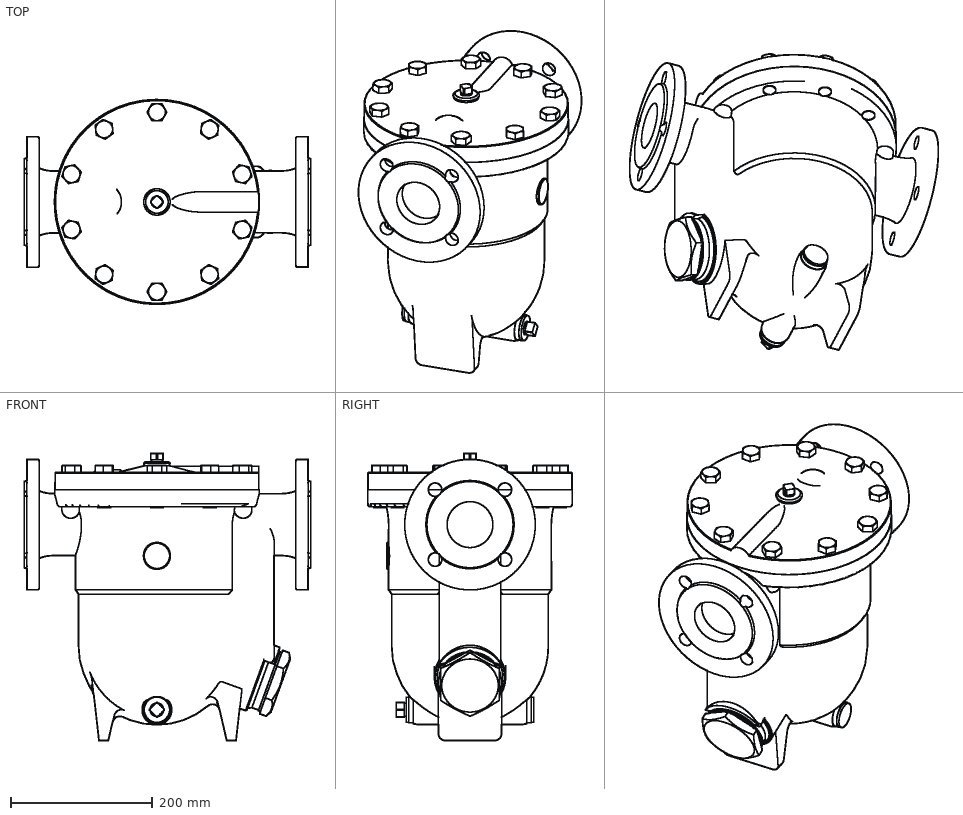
import cadquery as cq
import math

tolerance = 1e-3
shell_r = 111.0
upper_r = 115.5
collar_r = 118.5
step_z = -92.0
step_h = 6.5
dome_z = -172.5
flare_z = 1.7
rim_bottom_z = 25.0
rim_r = 145.0
cover_r = 144.5
cover_joint_z = 49.5
cover_top_z = 74.0
cover_edge = 1.0
rim_fillet = 4.5
bolt_count = 10
bolt_circle_r = 127.0
bolt_across_flats = 24.0
bolt_head_h = 10.0
bolt_shank_d = 18.0
bolt_protrusion = 1.0
bolt_lug_r = 12.5
bolt_lug_x = 122.0
bolt_lug_z = 21.0
bolt_lug_half_len = 52.0
hub_r = 60.0
hub_cone_r = 54.0
hub_cone_z = 74.5
hub_top_r = 17.5
hub_top_z = 83.5
plug_rim_r = 18.7
plug_rim_z = 86.7
plug_top_r = 16.0
plug_top_z = 89.3
plug_neck_d = 16.0
plug_neck_top_z = 91.5
plug_square = 13.89
plug_corner_d = 17.6
plug_square_top_z = 101.0
pad_x = -69.0
pad_top_r = 15.0
pad_base_r = 22.0
pad_h = 4.0
rib_r = 16.0
rib_top_z = 82.8
face_to_face = 406.0
face_centre_x = 15.0
flange_d = 185.0
flange_t = 17.5
flange_back_fillet = 2.5
raised_face_d = 122.0
raised_face_base_d = 125.0
raised_face_t = 4.0
flange_hole_d = 19.0
flange_hole_circle_d = 140.0
flange_hole_count = 4
pipe_r = 44.0
pipe_hub_r = 47.8
pipe_hub_len = 20.0
bore_d = 65.0
bore_depth = 21.5
passage_x = 166.0
passage_half_w = 43.75
passage_corner_r = 7.0
passage_fillet = 5.0
chord_fillet = 6.0
boss_tilt = 20.0
boss_axis_z = -164.0
boss_r = 50.5
boss_len = 153.4
boss_end_chamfer = 1.5
boss_pad_len = 167.0
boss_neck_root_r = 46.5
boss_neck_root_len = 5.5
boss_neck_r = 43.5
boss_neck_len = 169.0
strainer_ring_r = 44.5
strainer_ring_len = 172.0
strainer_across_flats = 83.0
strainer_len = 186.4
strainer_top_d = 80.0
drain_z = -262.0
drain_r = 21.0
drain_straight_y = 74.0
drain_end_y = 80.5
drain_end_r = 19.5
drain_collar_r = 18.6
drain_collar_y = 87.0
drain_cap_r = 18.0
drain_cap_y = 90.5
drain_neck_d = 19.0
drain_neck_y = 93.0
drain_square = 15.4
drain_corner_d = 21.0
drain_square_y = 104.5
front_boss_d = 36.0
front_boss_base_d = 38.0
front_boss_z = -44.2
front_boss_y = 117.5
foot_bottom_z = -305.7
foot_half_w = 44.8
foot_corner_r = 10.0
foot_offset = 90.4
foot_bottom_t = 13.4
foot_outer_slope = 6.5
foot_inner_slope = 13.1
foot_top_z = -200.0
foot_inner_fillet = 10.0
foot_outer_fillet = 15.0


def tan_deg(angle):
    return math.tan(math.radians(angle))


def cylinder(plane, radius, start, end):
    return cq.Workplane(plane).workplane(offset=start).circle(radius).extrude(end - start)


def chamfered_hex(plane, across_flats, start, end, top_d):
    """Hexagonal head whose outer corners are turned off by a 30 degree cone."""
    across_corners = across_flats / math.cos(math.radians(30))
    cone_h = (across_corners - top_d) / 2 * tan_deg(30)
    turned = cylinder(plane, across_corners / 2, start, end)
    turned = turned.faces(cq.DirectionMinMaxSelector(plane.zDir, True))
    turned = turned.chamfer(cone_h, (across_corners - top_d) / 2)
    head = cq.Workplane(plane).workplane(offset=start).polygon(6, across_corners).extrude(end - start)
    return head.intersect(turned)


def square_drive(plane, side, corner_d, start, end):
    """Square standing on its corner, with the four corners turned to a diameter."""
    drive = cq.Workplane(plane).workplane(offset=start).transformed(rotate=(0, 0, 45))
    drive = drive.rect(side, side).extrude(end - start)
    return drive.intersect(cylinder(plane, corner_d / 2, start, end))


def make_body():
    profile = (
        cq.Workplane("XZ")
        .moveTo(0, dome_z - shell_r)
        .threePointArc(
            (shell_r * math.sin(math.pi / 4), dome_z - shell_r * math.cos(math.pi / 4)),
            (shell_r, dome_z),
        )
        .lineTo(shell_r, step_z - step_h)
        .lineTo(upper_r, step_z)
        .lineTo(upper_r, flare_z)
        .tangentArcPoint((collar_r, rim_bottom_z), relative=False)
        .lineTo(collar_r, cover_joint_z)
        .lineTo(0, cover_joint_z)
        .close()
    )
    return profile.revolve(360, (0, 0, 0), (0, 1, 0)).rotate((0, 0, 0), (0, 0, 1), 90)


def make_cover():
    rim = cylinder(cq.Plane.XY(), rim_r, rim_bottom_z, cover_joint_z).faces("<Z").edges().fillet(rim_fillet)
    cover = cylinder(cq.Plane.XY(), cover_r, cover_joint_z, cover_top_z)
    cover = cover.faces(">Z").edges().chamfer(cover_edge)
    hub_and_plug = (
        cq.Workplane("XZ")
        .moveTo(0, cover_joint_z)
        .lineTo(hub_r, cover_joint_z)
        .lineTo(hub_r, cover_top_z)
        .lineTo(hub_cone_r, hub_cone_z)
        .lineTo(hub_top_r, hub_top_z)
        .lineTo(plug_rim_r, plug_rim_z)
        .lineTo(plug_top_r, plug_top_z)
        .lineTo(plug_neck_d / 2, plug_top_z)
        .lineTo(plug_neck_d / 2, plug_neck_top_z)
        .lineTo(0, plug_neck_top_z)
        .close()
        .revolve(360, (0, 0, 0), (0, 1, 0))
    )
    drive = square_drive(cq.Plane.XY(), plug_square, plug_corner_d, plug_neck_top_z, plug_square_top_z)
    pad_mid = ((pad_top_r + pad_base_r) / 2, cover_top_z + pad_h / 2)
    pad_arc_r = ((pad_base_r - pad_top_r) ** 2 + pad_h**2) / (4 * pad_h)
    pad = (
        cq.Workplane("XZ")
        .moveTo(0, cover_joint_z)
        .lineTo(pad_base_r, cover_joint_z)
        .lineTo(pad_base_r, cover_top_z)
        .radiusArc(pad_mid, pad_arc_r)
        .radiusArc((pad_top_r, cover_top_z + pad_h), -pad_arc_r)
        .lineTo(0, cover_top_z + pad_h)
        .close()
        .revolve(360, (0, 0, 0), (0, 1, 0))
        .translate((pad_x, 0, 0))
    )
    rib = cylinder(cq.Plane.YZ(), rib_r, 0, cover_r).translate((0, 0, rib_top_z - rib_r))
    rib = rib.intersect(cylinder(cq.Plane.XY(), cover_r, rim_bottom_z, plug_top_z))
    return rim.union(cover).union(pad).union(hub_and_plug).union(drive).union(rib)


def make_bolts():
    bolts = None
    for i in range(bolt_count):
        angle = 90 + i * 360 / bolt_count
        x = bolt_circle_r * math.cos(math.radians(angle))
        y = bolt_circle_r * math.sin(math.radians(angle))
        plane = cq.Plane((x, y, 0)).rotated((0, 0, angle - 90))
        bolt = chamfered_hex(
            plane, bolt_across_flats, cover_top_z, cover_top_z + bolt_head_h, bolt_across_flats
        )
        shank = cylinder(plane, bolt_shank_d / 2, rim_bottom_z - bolt_protrusion, cover_top_z)
        bolt = bolt.union(shank)
        bolts = bolt if bolts is None else bolts.union(bolt)
    return bolts


def make_bolt_lug(side):
    """Round-ended, half-round bar under the rim that carries the two bolts beside a pipe."""
    end_y = bolt_lug_half_len - bolt_lug_r
    rim_overlap = rim_bottom_z + rim_fillet - bolt_lug_z
    bar = cq.Workplane("XZ").circle(bolt_lug_r).extrude(end_y, both=True)
    bar = bar.union(cq.Workplane("XY").rect(2 * bolt_lug_r, 2 * end_y).extrude(rim_overlap))
    for y in (-end_y, end_y):
        bar = bar.union(cq.Workplane("XY").sphere(bolt_lug_r).translate((0, y, 0)))
        bar = bar.union(cq.Workplane("XY").center(0, y).circle(bolt_lug_r).extrude(rim_overlap))
    return bar.translate((side * bolt_lug_x, 0, bolt_lug_z))


def flange_plane(side):
    """Plane on a flange face, its normal pointing back to the vessel."""
    face_x = face_centre_x + side * face_to_face / 2
    return cq.Plane((face_x, 0, 0), (0, 1, 0), (-side, 0, 0))


def make_connection(side):
    back = raised_face_t + flange_t
    hub_end = back + pipe_hub_len
    hub_rise = pipe_hub_r - pipe_r
    hub_arc_r = (pipe_hub_len**2 + hub_rise**2) / (2 * hub_rise)
    pipe_end = face_to_face / 2 + side * face_centre_x
    profile = (
        cq.Workplane("XY")
        .moveTo(0, 0)
        .lineTo(raised_face_d / 2, 0)
        .lineTo(raised_face_base_d / 2, raised_face_t)
        .lineTo(flange_d / 2, raised_face_t)
        .lineTo(flange_d / 2, back - flange_back_fillet)
        .radiusArc((flange_d / 2 - flange_back_fillet, back), -flange_back_fillet)
        .lineTo(pipe_hub_r, back)
        .radiusArc((pipe_r, hub_end), hub_arc_r)
        .lineTo(pipe_r, pipe_end)
        .lineTo(0, pipe_end)
        .close()
        .revolve(360, (0, 0, 0), (0, 1, 0))
    )
    face_x = face_centre_x + side * face_to_face / 2
    connection = profile.rotate((0, 0, 0), (0, 0, 1), side * 90).translate((face_x, 0, 0))
    holes = (
        cq.Workplane(flange_plane(side))
        .polarArray(flange_hole_circle_d / 2, 45, 360, flange_hole_count)
        .circle(flange_hole_d / 2)
        .extrude(back)
    )
    return connection.cut(holes)


def make_bore(side):
    return cylinder(flange_plane(side), bore_d / 2, 0, bore_depth)


tilt = math.radians(boss_tilt)
boss_plane = cq.Plane(
    (0, 0, boss_axis_z),
    (math.sin(tilt), 0, math.cos(tilt)),
    (math.cos(tilt), 0, -math.sin(tilt)),
)
boss_chord = math.sqrt(boss_r**2 - passage_half_w**2)


def make_passage():
    """Flat-sided channel from the outlet pipe down to the strainer boss, joined to the boss."""
    lower_start = boss_plane.toWorldCoords((boss_chord, 0, 0))
    lower_end = boss_plane.toWorldCoords((boss_chord, 0, boss_pad_len))
    outline = [
        (lower_start.x, 0),
        (lower_start.x, lower_start.z),
        (lower_end.x, lower_end.z),
        (passage_x, lower_end.z),
        (passage_x, 0),
    ]
    side_outline = cq.Workplane("XZ").polyline(outline).close().extrude(passage_half_w, both=True)
    box = (
        cq.Workplane("XY")
        .workplane(offset=boss_axis_z - boss_len)
        .rect(2 * passage_x, 2 * passage_half_w)
        .extrude(boss_len - boss_axis_z)
        .edges("|Z")
        .fillet(passage_corner_r)
    )
    boss = cylinder(boss_plane, boss_r, 0, boss_len).faces(">X").chamfer(boss_end_chamfer)
    joined = side_outline.intersect(box).union(boss)
    sides = []
    for edge in joined.edges().vals():
        middle = boss_plane.toLocalCoords(edge.Center())
        on_chord = abs(middle.x - boss_chord) < tolerance and abs(abs(middle.y) - passage_half_w) < tolerance
        if on_chord and middle.z < boss_len:
            sides.append(edge)
    return joined.newObject(sides).fillet(chord_fillet)


def make_strainer():
    """Neck, ring and hexagonal plug on the end of the boss, with the raised segment above the neck."""
    pad = cylinder(boss_plane, boss_r, boss_len, boss_pad_len)
    upper_part = (
        cq.Workplane(boss_plane)
        .center((boss_chord + boss_r) / 2, 0)
        .rect(boss_r - boss_chord, 2 * passage_half_w)
        .extrude(boss_pad_len)
    )
    neck = cylinder(boss_plane, boss_neck_r, 0, boss_neck_len)
    root_taper = math.degrees(math.atan((boss_neck_root_r - boss_neck_r) / boss_neck_root_len))
    root = cq.Workplane(boss_plane).workplane(offset=boss_len).circle(boss_neck_root_r)
    neck = neck.union(root.extrude(boss_neck_root_len, taper=root_taper))
    ring = cylinder(boss_plane, strainer_ring_r, boss_neck_len, strainer_ring_len)
    head = chamfered_hex(boss_plane, strainer_across_flats, strainer_ring_len, strainer_len, strainer_top_d)
    return pad.intersect(upper_part).union(neck).union(ring).union(head)


def make_drain():
    """Two opposed drain bosses, the front one with a square-headed plug."""
    drop = drain_r - drain_end_r
    drain_arc_r = ((drain_end_y - drain_straight_y) ** 2 + drop**2) / (2 * drop)
    bosses = (
        cq.Workplane("XY")
        .moveTo(0, 0)
        .lineTo(drain_r, 0)
        .lineTo(drain_r, drain_straight_y)
        .radiusArc((drain_end_r, drain_end_y), -drain_arc_r)
        .lineTo(drain_collar_r, drain_end_y)
        .lineTo(drain_collar_r, drain_collar_y)
        .lineTo(drain_cap_r, drain_collar_y)
        .lineTo(drain_cap_r, drain_cap_y)
        .lineTo(0, drain_cap_y)
        .close()
        .revolve(360, (0, 0, 0), (0, 1, 0))
    )
    bosses = bosses.union(bosses.mirror("XZ")).translate((0, 0, drain_z))
    plane = cq.Plane((0, 0, drain_z), (1, 0, 0), (0, -1, 0))
    neck = cylinder(plane, drain_neck_d / 2, 0, drain_neck_y)
    drive = square_drive(plane, drain_square, drain_corner_d, drain_neck_y, drain_square_y)
    return bosses.union(neck).union(drive)


def make_front_boss():
    plane = cq.Plane((0, 0, front_boss_z), (1, 0, 0), (0, -1, 0))
    boss = cylinder(plane, front_boss_base_d / 2, shell_r / 2, front_boss_y)
    return boss.faces("<Y").edges().chamfer((front_boss_base_d - front_boss_d) / 2)


def make_foot(side):
    height = foot_top_z - foot_bottom_z
    inner = foot_offset - foot_bottom_t / 2
    outer = foot_offset + foot_bottom_t / 2
    outline = [
        (inner, foot_bottom_z),
        (outer, foot_bottom_z),
        (outer + height * tan_deg(foot_outer_slope), foot_top_z),
        (inner - height * tan_deg(foot_inner_slope), foot_top_z),
    ]
    outline = [(face_centre_x + side * x, z) for x, z in outline]
    foot = cq.Workplane("XZ").polyline(outline).close().extrude(foot_half_w, both=True)
    rounded_block = (
        cq.Workplane("YZ")
        .rect(2 * foot_half_w, 2 * -foot_bottom_z)
        .extrude(cover_r, both=True)
        .edges("|X")
        .fillet(foot_corner_r)
    )
    return foot.intersect(rounded_block)


def on_lower_shell(edge):
    """True for an edge that lies on the lower shell or dome, below the ring at the shell's top."""
    points = [edge.positionAt(t) for t in (0.1, 0.5, 0.9)]
    gaps = [math.hypot(p.x, p.y, min(p.z - dome_z, 0)) - shell_r for p in points]
    top_z = max(p.z for p in points)
    return max(abs(gap) for gap in gaps) < tolerance and top_z < step_z - step_h - tolerance


def blend_passage(body):
    """Body joined to the passage and boss, with a fillet where they leave the lower shell."""
    joined = body.union(make_passage())
    roots = []
    for edge in joined.edges().vals():
        if on_lower_shell(edge) and edge.Center().x > shell_r / 2:
            roots.append(edge)
    return joined.newObject(roots).fillet(passage_fillet)


def blend_foot(body, side):
    """Body joined to one foot, with fillets where the foot's broad faces leave the dome."""
    joined = body.union(make_foot(side))
    roots = []
    for edge in joined.edges().vals():
        span = edge.endPoint() - edge.startPoint()
        across_foot = abs(span.z) < tolerance and abs(abs(span.y) - 2 * foot_half_w) < tolerance
        if on_lower_shell(edge) and across_foot:
            roots.append(edge)
    roots.sort(key=lambda edge: abs(edge.Center().x - face_centre_x))
    blended = joined.newObject(roots[:1]).fillet(foot_inner_fillet)
    if side > 0:
        return blended
    return blended.union(joined.newObject(roots[-1:]).fillet(foot_outer_fillet))


body = make_body()
result = blend_passage(body)
for side in (-1, 1):
    result = result.union(blend_foot(body, side))
result = result.union(make_strainer())
result = result.union(make_cover()).union(make_bolts())
for side in (-1, 1):
    result = result.union(make_connection(side)).union(make_bolt_lug(side))
result = result.union(make_drain()).union(make_front_boss())
for side in (-1, 1):
    result = result.cut(make_bore(side))